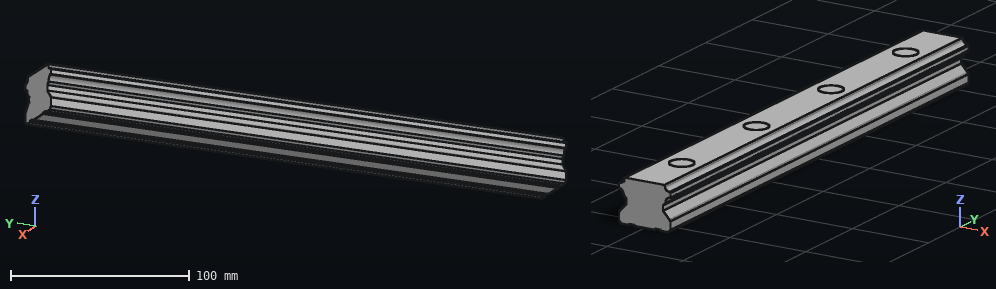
import cadquery as cq

LENGTH = 320.0
WIDTH = 34.0
HEIGHT = 27.5
HALF_WIDTH = WIDTH / 2

TOP_HALF_WIDTH = 13.0
UPPER_TRACK_START = (13.5, 26.2)
UPPER_TRACK_MIDDLE = (14.5, 24.5)
UPPER_TRACK_END = (16.5, 24.0)

LIP_TOP_Z = 23.5
LIP_BOTTOM_Z = 20.5

LOWER_TRACK_START = (16.0, LIP_BOTTOM_Z)
LOWER_TRACK_MIDDLE = (14.5, 19.2)
LOWER_TRACK_END = (13.8, 17.0)

WAIST_HALF_WIDTH = 12.0
WAIST_TOP_Z = 15.5
WAIST_BOTTOM_Z = 12.0

FOOT_FLANK_END = (16.3, 7.7)
FOOT_TOP_Z = 6.7
FOOT_CHAMFER = 1.5

RELIEF_X = 8.5
RELIEF_WIDTH = 4.5
RELIEF_FLOOR_WIDTH = 3.2
RELIEF_DEPTH = 0.5

SEAT_DIAMETER = 14.5
SEAT_DEPTH = 0.15
SEAT_COUNT = 4
SEAT_PITCH = LENGTH / SEAT_COUNT


def extrude_along_rail(outline):
    """Extrude a closed XZ outline over the whole length, centred on Y = 0."""
    return outline.extrude(LENGTH / 2, both=True)


def make_half_rail():
    """The +X half of the rail."""
    outline = (
        cq.Workplane("XZ")
        .moveTo(0, 0)
        .lineTo(HALF_WIDTH - FOOT_CHAMFER, 0)
        .lineTo(HALF_WIDTH, FOOT_CHAMFER)
        .lineTo(HALF_WIDTH, FOOT_TOP_Z)
        .lineTo(*FOOT_FLANK_END)
        .lineTo(WAIST_HALF_WIDTH, WAIST_BOTTOM_Z)
        .lineTo(WAIST_HALF_WIDTH, WAIST_TOP_Z)
        .lineTo(*LOWER_TRACK_END)
        .threePointArc(LOWER_TRACK_MIDDLE, LOWER_TRACK_START)
        .lineTo(HALF_WIDTH, LIP_BOTTOM_Z)
        .lineTo(HALF_WIDTH, LIP_TOP_Z)
        .lineTo(*UPPER_TRACK_END)
        .threePointArc(UPPER_TRACK_MIDDLE, UPPER_TRACK_START)
        .lineTo(TOP_HALF_WIDTH, HEIGHT)
        .lineTo(0, HEIGHT)
        .close()
    )
    return extrude_along_rail(outline)


def make_relief():
    """Cutter for the underside groove on the +X side."""
    outline = cq.Workplane("XZ").polyline([
        (RELIEF_X - RELIEF_WIDTH / 2, 0),
        (RELIEF_X + RELIEF_WIDTH / 2, 0),
        (RELIEF_X + RELIEF_FLOOR_WIDTH / 2, RELIEF_DEPTH),
        (RELIEF_X - RELIEF_FLOOR_WIDTH / 2, RELIEF_DEPTH),
    ]).close()
    return extrude_along_rail(outline)


def make_seats():
    """Cutters for the round seats, evenly spaced along the top face."""
    return (
        cq.Workplane("XY", origin=(0, 0, HEIGHT))
        .rarray(3.2, SEAT_PITCH, 1, SEAT_COUNT)
        .circle(SEAT_DIAMETER / 2)
        .extrude(-SEAT_DEPTH)
    )


half_rail = make_half_rail().cut(make_relief())
result = half_rail.union(half_rail.mirror("YZ")).cut(make_seats())